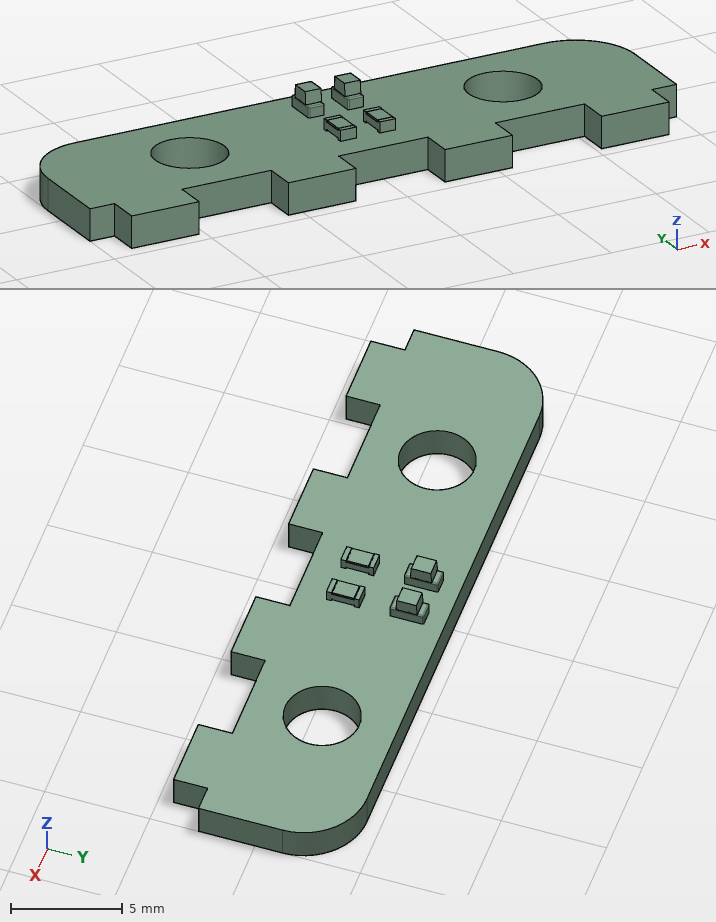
import cadquery as cq

board_length = 30.0
board_thickness = 1.6
panel_depth = 7.0
tab_depth = 1.62
tab_width = 3.45
corner_radius = 3.0
tab_pitch = 8.0
tab_count = 4
hole_diameter = 3.5
hole_spacing = 2 * tab_pitch
hole_y = panel_depth / 2

column_spacing = 2.0
column_places = (-column_spacing / 2, column_spacing / 2)
chip_width = 0.8
led_setback = 1.75
led_y = panel_depth - led_setback
row_spacing = 3.03
resistor_y = led_y - row_spacing

overall_height = 2.75
led_length = 1.62
led_base_height = 0.55
led_edge_radius = 0.05
lens_height = overall_height - board_thickness - led_base_height
lens_foot_length = 1.02
lens_top_length = 0.93

resistor_length = 1.55
resistor_height = 0.55
terminal_length = 0.25
core_clearance = 0.075
coating_thickness = 0.1
coating_inset = 0.018


def block(length_x, length_y, height, y=0, z=0):
    """Box centred on X and on the given Y, standing on height z."""
    box = cq.Workplane("XY").box(length_x, length_y, height, centered=(True, True, False))
    return box.translate((0, y, z))


def make_board():
    panel = block(board_length, panel_depth, board_thickness, panel_depth / 2)
    panel = panel.edges("|Z and >Y").fillet(corner_radius)
    for index in range(tab_count):
        tab_x = (index - (tab_count - 1) / 2) * tab_pitch
        tab = block(tab_width, tab_depth, board_thickness, -tab_depth / 2)
        panel = panel.union(tab.translate((tab_x, 0, 0)))
    holes = (
        cq.Workplane("XY")
        .pushPoints([(-hole_spacing / 2, hole_y), (hole_spacing / 2, hole_y)])
        .circle(hole_diameter / 2)
        .extrude(board_thickness)
    )
    return panel.cut(holes)


def make_led(x):
    base = block(chip_width, led_length, led_base_height)
    base = base.edges("|Z or >Z").fillet(led_edge_radius)
    lens_outline = [
        (-lens_foot_length / 2, led_base_height),
        (lens_foot_length / 2, led_base_height),
        (lens_top_length / 2, led_base_height + lens_height),
        (-lens_top_length / 2, led_base_height + lens_height),
    ]
    lens = cq.Workplane("YZ").polyline(lens_outline).close().extrude(chip_width / 2, both=True)
    return base.union(lens).translate((x, led_y, board_thickness))


def make_resistor(x):
    core_length = resistor_length - 2 * terminal_length
    core_height = resistor_height - coating_thickness - core_clearance
    body = block(chip_width, core_length, core_height, z=core_clearance)
    for side in (-1, 1):
        terminal_y = side * (resistor_length - terminal_length) / 2
        terminal = block(chip_width, terminal_length, resistor_height, terminal_y)
        body = body.union(terminal)
    coating = block(
        chip_width - 2 * coating_inset,
        core_length - 2 * coating_inset,
        coating_thickness,
        z=resistor_height - coating_thickness,
    )
    return body.union(coating).translate((x, resistor_y, board_thickness))


board = make_board()
leds = [make_led(x) for x in column_places]
resistors = [make_resistor(x) for x in column_places]

result = cq.Compound.makeCompound(
    [board.val(), *[led.val() for led in leds], *[resistor.val() for resistor in resistors]]
)